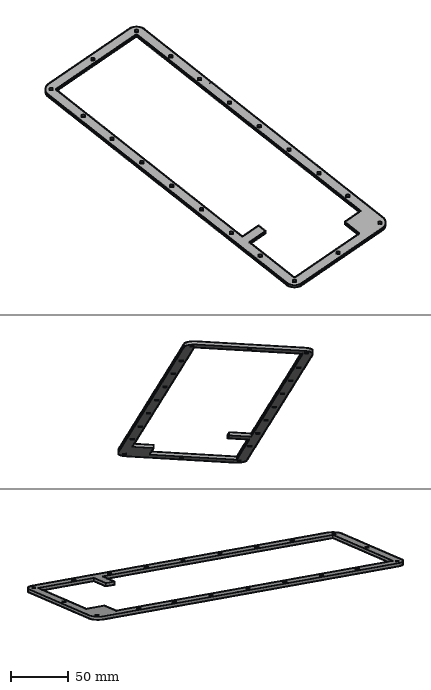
import cadquery as cq

length = 324.0
width = 114.3
thickness = 3.0
corner_radius = 9.0
border = 9.0
opening_length = length - 2 * border
opening_width = width - 2 * border

pad_left = 134.0
pad_bottom = 29.0

tab_center_x = 90.7
tab_width = 9.0
tab_top = -28.8

edge_hole_diameter = 3.2
end_hole_diameter = 3.0
edge_hole_offsets = [0.0, 38.2, 76.5, 113.5]
edge_hole_y = 52.0
corner_hole_x = 155.8
corner_hole_y = 51.0
side_hole_x = 157.0


def block(x_min, x_max, y_min, y_max):
    """Block of full plate thickness between the given limits."""
    return cq.Workplane("XY").box(
        x_max - x_min, y_max - y_min, thickness, centered=False
    ).translate((x_min, y_min, 0))


def mirrored_points(x, y):
    """Distinct mirror images of a point about both centre lines."""
    return sorted({(sx * x, sy * y) for sx in (-1, 1) for sy in (-1, 1)})


def hole_cutters(points, diameter):
    """Cylinders through the plate at the given points."""
    return cq.Workplane("XY").pushPoints(points).circle(diameter / 2).extrude(thickness)


def make_frame():
    """Rounded plate with a sharp-cornered rectangular opening."""
    plate = cq.Workplane("XY").rect(length, width).extrude(thickness)
    plate = plate.edges("|Z").fillet(corner_radius)
    opening = cq.Workplane("XY").rect(opening_length, opening_width).extrude(thickness)
    return plate.cut(opening)


overlap = border / 2
inner_x = opening_length / 2 + overlap
inner_y = opening_width / 2 + overlap
pad = block(pad_left, inner_x, pad_bottom, inner_y)
tab = block(tab_center_x - tab_width / 2, tab_center_x + tab_width / 2, -inner_y, tab_top)

edge_points = [point for x in edge_hole_offsets for point in mirrored_points(x, edge_hole_y)]
end_points = mirrored_points(corner_hole_x, corner_hole_y) + mirrored_points(side_hole_x, 0.0)

result = make_frame().union(pad).union(tab).clean()
result = result.cut(hole_cutters(edge_points, edge_hole_diameter))
result = result.cut(hole_cutters(end_points, end_hole_diameter))